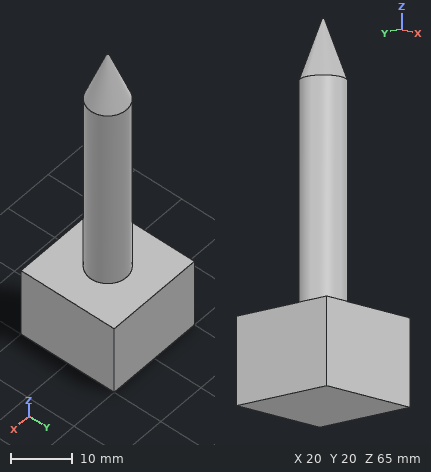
import cadquery as cq

total_height = 65.0
base_side = 20.0
base_height = 15.0

pin_diameter = 8.0
tip_height = 10.45
tip_end_diameter = 0.4

pin_radius = pin_diameter / 2
tip_end_radius = tip_end_diameter / 2
shoulder_z = total_height - tip_height

base = cq.Workplane("XY").box(base_side, base_side, base_height, centered=(True, True, False))

pin = (
    cq.Workplane("XZ")
    .moveTo(0, base_height)
    .lineTo(pin_radius, base_height)
    .lineTo(pin_radius, shoulder_z)
    .lineTo(tip_end_radius, total_height)
    .lineTo(0, total_height)
    .close()
    .revolve(360, (0, 0, 0), (0, 1, 0))
)

result = base.union(pin)